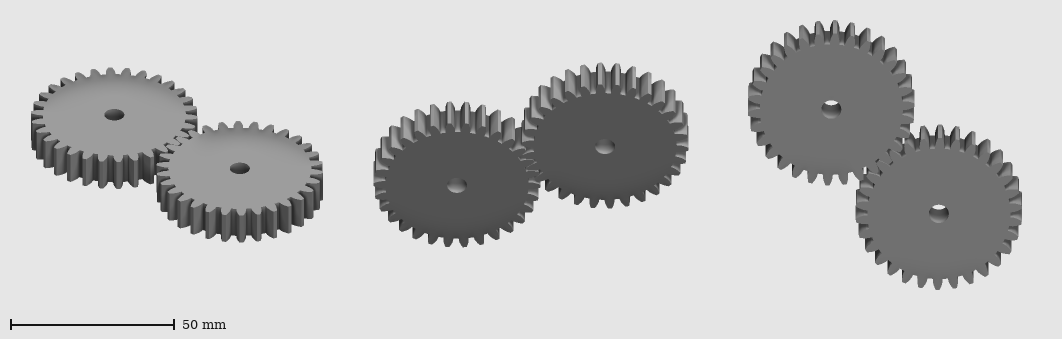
import cadquery as cq
import math

tooth_count = 30
centre_distance = 48.0
thickness = 10.0
bore_diameter = 6.1

outer_diameter = 50.9
root_diameter = 43.7
flank_start_diameter = 45.9
root_tooth_width = 3.0
pressure_angle = math.radians(20)
backlash = 0.1
flank_point_count = 5

outer_radius = outer_diameter / 2
root_radius = root_diameter / 2
flank_start_radius = flank_start_diameter / 2
pitch_radius = centre_distance / 2
base_radius = pitch_radius * math.cos(pressure_angle)
tooth_pitch = 2 * math.pi / tooth_count
pitch_half_angle = tooth_pitch / 4 - backlash / (2 * pitch_radius)
root_half_angle = math.asin(root_tooth_width / (2 * root_radius))

driver_phase = math.radians(-2.1)
driven_phase = math.pi - driver_phase + tooth_pitch / 2


def polar(radius, angle):
    """Point at a radius and angle about the gear axis."""
    return (radius * math.cos(angle), radius * math.sin(angle))


def involute(angle):
    """Involute function of a pressure angle."""
    return math.tan(angle) - angle


def flank_half_angle(radius):
    """Angle from the tooth centre line to the involute flank at a radius."""
    local_pressure_angle = math.acos(base_radius / radius)
    return pitch_half_angle + involute(pressure_angle) - involute(local_pressure_angle)


def flank(centre_angle, side):
    """Involute points from flank start to tip, on side -1 or +1 of the tooth."""
    step = (outer_radius - flank_start_radius) / (flank_point_count - 1)
    radii = [flank_start_radius + i * step for i in range(flank_point_count)]
    return [polar(r, centre_angle + side * flank_half_angle(r)) for r in radii]


def gear_outline(phase):
    """Closed outline of all the teeth, one tooth centred on the phase angle."""
    outline = cq.Workplane("XY").moveTo(*polar(root_radius, phase - root_half_angle))
    for i in range(tooth_count):
        centre = phase + i * tooth_pitch
        rising = flank(centre, -1)
        falling = flank(centre, 1)[::-1]
        root_start = polar(root_radius, centre + root_half_angle)
        root_middle = polar(root_radius, centre + tooth_pitch / 2)
        root_end = polar(root_radius, centre + tooth_pitch - root_half_angle)
        outline = (
            outline.lineTo(*rising[0])
            .spline(rising[1:], includeCurrent=True)
            .threePointArc(polar(outer_radius, centre), falling[0])
            .spline(falling[1:], includeCurrent=True)
            .lineTo(*root_start)
            .threePointArc(root_middle, root_end)
        )
    return outline.close()


def spur_gear(axis_x, phase):
    """Spur gear with a plain through bore, its axis parallel to Z."""
    blank = gear_outline(phase).extrude(thickness)
    bore = cq.Workplane("XY").circle(bore_diameter / 2).extrude(thickness)
    gear = blank.cut(bore).translate((axis_x, 0, 0))
    return gear.solids().val()


gear_places = [(-centre_distance / 2, driver_phase), (centre_distance / 2, driven_phase)]
gears = [spur_gear(axis_x, phase) for axis_x, phase in gear_places]

result = cq.Compound.makeCompound(gears)